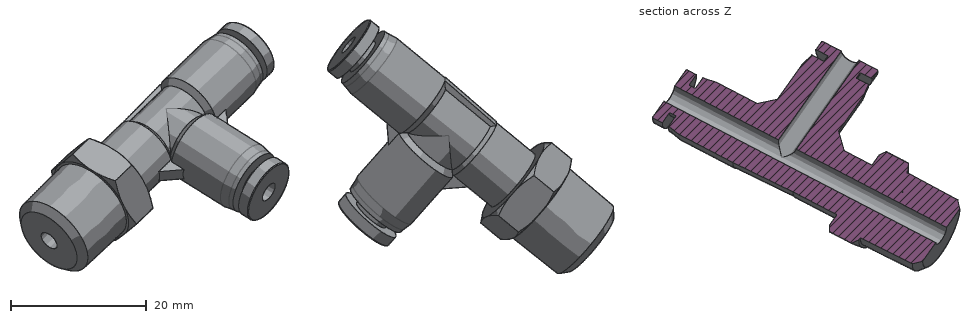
import cadquery as cq
import math

total_length = 46.95
branch_y = 27.5
arm_length = total_length - branch_y
bore_radius = 1.5

thread_length = 9.95
thread_tip_radius = 6.5
thread_root_radius = 6.6
thread_face_radius = 5.3
thread_chamfer_length = 1.1

hex_across_flats = 14.0
hex_end_y = 15.02
hex_corner_radius = hex_across_flats / math.sqrt(3)
hex_face_radius = 7.05
hex_chamfer_length = (hex_corner_radius - hex_face_radius) * math.tan(math.radians(30))

neck_radius = 4.45
lower_body_radius = 5.02
lower_body_end_y = 22.55
lower_step_length = 0.6

arm_radius = 5.3
arm_start = 5.2
arm_step_length = 0.9
arm_taper_start = 14.55
arm_taper_end = 15.9
arm_end = 16.6
arm_taper_radius = 5.02
arm_end_radius = 4.95
stem_radius = 2.8
collar_start = 17.65
collar_radius = 4.9
collar_chamfer = 0.15

web_thickness = 2.15
gusset_reach = 12.75


def revolve_about_y(profile):
    """Revolve (radius, y) points, starting and ending on the Y axis."""
    return cq.Workplane("XY").polyline(profile).close().revolve(360, (0, 0, 0), (0, 1, 0))


def push_in_arm():
    """Arm along +Y from the tee centre, ending in a release collar."""
    return revolve_about_y([
        (0, 0),
        (neck_radius, 0),
        (neck_radius, arm_start - arm_step_length),
        (arm_radius, arm_start),
        (arm_radius, arm_taper_start),
        (arm_taper_radius, arm_taper_end),
        (arm_end_radius, arm_end),
        (stem_radius, arm_end),
        (stem_radius, collar_start),
        (collar_radius, collar_start),
        (collar_radius, arm_length - collar_chamfer),
        (collar_radius - collar_chamfer, arm_length),
        (0, arm_length),
    ])


def threaded_end():
    """Tapered thread with a chamfered tip."""
    return revolve_about_y([
        (0, 0),
        (thread_face_radius, 0),
        (thread_tip_radius, thread_chamfer_length),
        (thread_root_radius, thread_length),
        (0, thread_length),
    ])


def hexagon():
    """Hexagon with corners on +X and -X, its corners bevelled at both ends."""
    prism = (
        cq.Workplane("XZ", origin=(0, hex_end_y, 0))
        .polygon(6, 2 * hex_corner_radius)
        .extrude(hex_end_y - thread_length)
    )
    envelope = revolve_about_y([
        (0, thread_length),
        (hex_face_radius, thread_length),
        (hex_corner_radius, thread_length + hex_chamfer_length),
        (hex_corner_radius, hex_end_y - hex_chamfer_length),
        (hex_face_radius, hex_end_y),
        (0, hex_end_y),
    ])
    return prism.intersect(envelope)


def lower_body():
    """Body between the hexagon and the tee centre."""
    return revolve_about_y([
        (0, hex_end_y),
        (lower_body_radius, hex_end_y),
        (lower_body_radius, lower_body_end_y),
        (neck_radius, lower_body_end_y + lower_step_length),
        (neck_radius, branch_y),
        (0, branch_y),
    ])


def webs():
    """Back rib bridging the neck on -X and 45 degree gussets beside the branch."""
    outline = [
        (0, branch_y - gusset_reach),
        (gusset_reach, branch_y),
        (0, branch_y + gusset_reach),
        (0, branch_y + arm_start),
        (-arm_radius, branch_y + arm_start),
        (-lower_body_radius, lower_body_end_y),
        (0, lower_body_end_y),
    ]
    plate = cq.Workplane("XY").polyline(outline).close()
    return plate.extrude(web_thickness / 2, both=True)


def bores():
    """Run bore through the whole length, joined by the branch bore."""
    run = cq.Workplane("XZ").circle(bore_radius).extrude(-total_length)
    branch = cq.Workplane("YZ").center(branch_y, 0).circle(bore_radius).extrude(arm_length)
    return run.union(branch)


run_arm = push_in_arm().translate((0, branch_y, 0))
branch_arm = push_in_arm().rotate((0, 0, 0), (0, 0, 1), -90).translate((0, branch_y, 0))

result = (
    threaded_end()
    .union(hexagon())
    .union(lower_body())
    .union(run_arm)
    .union(branch_arm)
    .union(webs())
    .cut(bores())
)